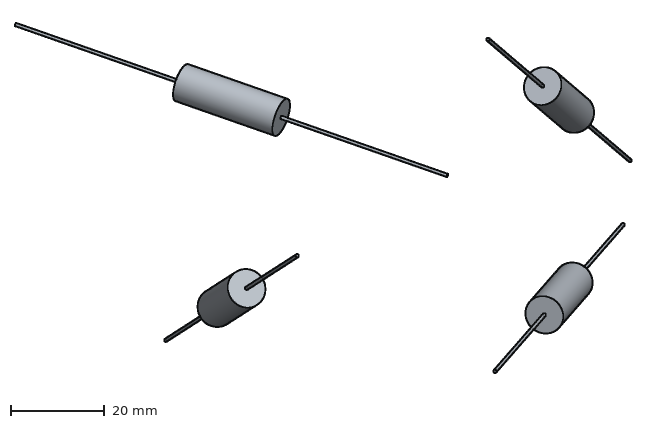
import cadquery as cq

overall_length = 103.1
body_length = 23.75
body_diameter = 8.38
lead_diameter = 0.76


def cylinder_along_x(diameter, length):
    """Solid cylinder on the X axis, centred on the origin."""
    left_end = cq.Workplane("YZ", origin=(-length / 2, 0, 0))
    return left_end.circle(diameter / 2).extrude(length)


body = cylinder_along_x(body_diameter, body_length)

leads = cylinder_along_x(lead_diameter, overall_length)

result = body.union(leads)